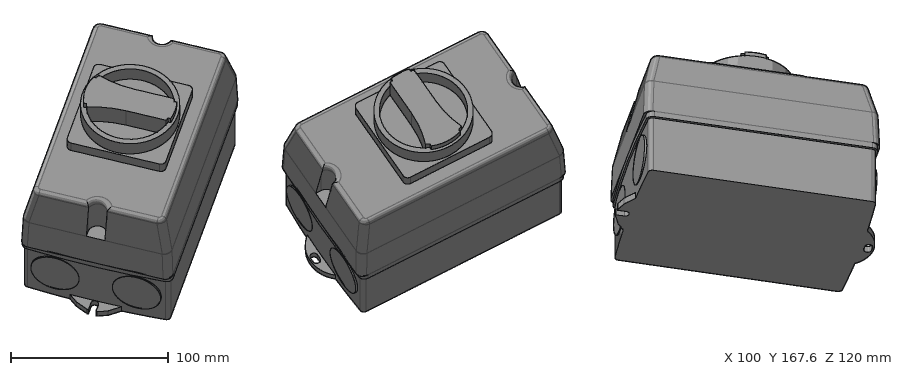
import cadquery as cq
import math

BASE_TOP = 41.8
RIM_TOP = 46.0
SHOULDER_Z = 70.8
COVER_TOP = 97.3
PLATE_TOP = 105.0
RING_TOP = 115.7
KNOB_TOP = 120.0

BASE_WIDTH = 96.8
BASE_LENGTH = 151.6
BASE_CORNER_RADIUS = 2.9
END_WALL_BOW = 1.8

KNOCKOUT_DIAMETER = 32.0
KNOCKOUT_OFFSET = 27.0
KNOCKOUT_Z = 23.3

LUG_THICKNESS = 4.7
LUG_REACH = 83.8
REAR_LUG_RADIUS = 22.6
LUG_HOLE_LENGTH = 8.0
LUG_HOLE_WIDTH = 5.0
LUG_HOLE_Y = 80.2
FRONT_LUG_ROOT_WIDTH = 34.5
FRONT_LUG_ROOT_Y = -75.5
FRONT_LUG_TIP_WIDTH = 6.5
FRONT_LUG_LEFT_BEND = (-11.4, -80.2)
FRONT_LUG_RIGHT_BEND = (9.7, -81.3)
FRONT_LUG_SLOT_WIDTH = 4.9

COVER_WIDTH = 100.0
COVER_LENGTH = 154.0
RIM_CORNER_RADIUS = 4.4
LOWER_DRAFT = 2.0
UPPER_DRAFT = 12.0
COVER_CORNER_RADIUS = 5.0
COVER_TOP_FILLET = 3.4
SCREW_NOTCH_WIDTH = 12.2
SCREW_NOTCH_Y = 72.1

PLATE_SIDE = 65.2
PLATE_CORNER_RADIUS = 3.4
RING_X = 0.25
RING_OUTER_DIAMETER = 63.0
RING_INNER_DIAMETER = 56.0

GRIP_WIDTH = 18.0
GRIP_FLARED_WIDTH = 26.5
EAR_DIAMETER = 59.4
EAR_OVERLAP = 3.4
NARROW_EAR_WIDTH = 13.8
WIDE_EAR_WIDTH = 21.5


def bowed_block(width, length, corner_radius, bottom, top):
    """Block whose two ends are shallow arcs reaching the full length at mid width."""
    half_width = width / 2
    half_length = length / 2
    corner_y = half_length - END_WALL_BOW
    return (
        cq.Workplane("XY", origin=(0, 0, bottom))
        .moveTo(-half_width, -corner_y)
        .threePointArc((0, -half_length), (half_width, -corner_y))
        .lineTo(half_width, corner_y)
        .threePointArc((0, half_length), (-half_width, corner_y))
        .close()
        .extrude(top - bottom)
        .edges("|Z")
        .fillet(corner_radius)
    )


def make_knockouts():
    """Knockouts of both end walls, as cylinders running the length of the base."""
    return (
        cq.Workplane("XZ", origin=(0, BASE_LENGTH / 2, 0))
        .pushPoints([(-KNOCKOUT_OFFSET, KNOCKOUT_Z), (KNOCKOUT_OFFSET, KNOCKOUT_Z)])
        .circle(KNOCKOUT_DIAMETER / 2)
        .extrude(BASE_LENGTH)
    )


def make_rear_lug():
    """Round lug with an oblong hole."""
    hole = (
        cq.Workplane("XY")
        .center(0, LUG_HOLE_Y)
        .slot2D(LUG_HOLE_LENGTH, LUG_HOLE_WIDTH)
        .extrude(LUG_THICKNESS)
    )
    disc = (
        cq.Workplane("XY")
        .center(0, LUG_REACH - REAR_LUG_RADIUS)
        .circle(REAR_LUG_RADIUS)
        .extrude(LUG_THICKNESS)
    )
    return disc.cut(hole)


def make_front_lug():
    """Straight-sided lug with an open slot that ends at the base wall."""
    half_root = FRONT_LUG_ROOT_WIDTH / 2
    half_tip = FRONT_LUG_TIP_WIDTH / 2
    outline = [
        (0, 0),
        (-half_root, FRONT_LUG_ROOT_Y),
        FRONT_LUG_LEFT_BEND,
        (-half_tip, -LUG_REACH),
        (half_tip, -LUG_REACH),
        FRONT_LUG_RIGHT_BEND,
        (half_root, FRONT_LUG_ROOT_Y),
    ]
    slot_depth = LUG_REACH - BASE_LENGTH / 2
    slot = (
        cq.Workplane("XY")
        .center(0, -LUG_REACH)
        .slot2D(2 * slot_depth, FRONT_LUG_SLOT_WIDTH, 90)
        .extrude(LUG_THICKNESS)
    )
    return cq.Workplane("XY").polyline(outline).close().extrude(LUG_THICKNESS).cut(slot)


def make_base():
    body = bowed_block(BASE_WIDTH, BASE_LENGTH, BASE_CORNER_RADIUS, 0, BASE_TOP)
    return body.union(make_knockouts()).union(make_rear_lug()).union(make_front_lug())


def make_screw_notches():
    """Upright round-backed notches, open through both ends of the cover above its shoulder."""
    height = COVER_TOP - SHOULDER_Z
    notches = cq.Workplane("XY")
    for side in (-1, 1):
        back = (
            cq.Workplane("XY", origin=(0, side * SCREW_NOTCH_Y, SHOULDER_Z))
            .circle(SCREW_NOTCH_WIDTH / 2)
            .extrude(height)
        )
        mouth = (
            cq.Workplane("XY", origin=(0, side * (SCREW_NOTCH_Y + SCREW_NOTCH_WIDTH / 2), SHOULDER_Z))
            .rect(SCREW_NOTCH_WIDTH, SCREW_NOTCH_WIDTH)
            .extrude(height)
        )
        notches = notches.add(back.union(mouth))
    return notches.combine()


def make_cover():
    lower_height = SHOULDER_Z - RIM_TOP
    inset = lower_height * math.tan(math.radians(LOWER_DRAFT))
    lower = (
        cq.Workplane("XY", origin=(0, 0, RIM_TOP))
        .rect(COVER_WIDTH, COVER_LENGTH)
        .extrude(lower_height, taper=LOWER_DRAFT)
    )
    upper = (
        cq.Workplane("XY", origin=(0, 0, SHOULDER_Z))
        .rect(COVER_WIDTH - 2 * inset, COVER_LENGTH - 2 * inset)
        .extrude(COVER_TOP - SHOULDER_Z, taper=UPPER_DRAFT)
    )
    shell = lower.union(upper).edges("not(#Z)").fillet(COVER_CORNER_RADIUS)
    shell = shell.cut(make_screw_notches()).faces(">Z").edges().fillet(COVER_TOP_FILLET)
    rim = bowed_block(COVER_WIDTH, COVER_LENGTH, RIM_CORNER_RADIUS, BASE_TOP, RIM_TOP)
    return shell.union(rim)


def make_switch_mount():
    plate = (
        cq.Workplane("XY", origin=(0, 0, COVER_TOP))
        .rect(PLATE_SIDE, PLATE_SIDE)
        .extrude(PLATE_TOP - COVER_TOP)
        .edges("|Z")
        .fillet(PLATE_CORNER_RADIUS)
    )
    ring = (
        cq.Workplane("XY", origin=(RING_X, 0, PLATE_TOP))
        .circle(RING_OUTER_DIAMETER / 2)
        .circle(RING_INNER_DIAMETER / 2)
        .extrude(RING_TOP - PLATE_TOP)
    )
    return plate.union(ring)


def make_grip():
    """Bar inside the ring bore, straight on +X and flaring in tangent arcs on -X."""
    bore_radius = RING_INNER_DIAMETER / 2
    half_width = GRIP_WIDTH / 2
    flared_half_width = GRIP_FLARED_WIDTH / 2
    flare_x = -math.sqrt(bore_radius**2 - flared_half_width**2)
    straight_x = math.sqrt(bore_radius**2 - half_width**2)
    half = (
        cq.Workplane("XY", origin=(RING_X, 0, PLATE_TOP))
        .moveTo(bore_radius, 0)
        .radiusArc((straight_x, half_width), -bore_radius)
        .lineTo(0, half_width)
        .tangentArcPoint((flare_x, flared_half_width), relative=False)
        .radiusArc((-bore_radius, 0), -bore_radius)
        .close()
        .extrude(KNOB_TOP - PLATE_TOP)
    )
    return half.union(half.mirror("XZ"))


def make_ears():
    """Narrower ends of the grip that rest on the top of the ring."""
    height = KNOB_TOP - RING_TOP
    ear_radius = EAR_DIAMETER / 2
    bar_start = RING_INNER_DIAMETER / 2 - EAR_OVERLAP
    bar_length = EAR_DIAMETER / 2 - bar_start
    disc = cq.Workplane("XY", origin=(RING_X, 0, RING_TOP)).circle(ear_radius).extrude(height)
    bars = cq.Workplane("XY")
    for side, width in ((-1, WIDE_EAR_WIDTH), (1, NARROW_EAR_WIDTH)):
        bar_x = RING_X + side * (bar_start + bar_length / 2)
        bar = (
            cq.Workplane("XY", origin=(bar_x, 0, RING_TOP))
            .rect(bar_length, width)
            .extrude(height)
        )
        bars = bars.add(bar)
    return disc.intersect(bars.combine())


def make_knob():
    return make_grip().union(make_ears())


base = make_base()
cover = make_cover()
switch_mount = make_switch_mount()
knob = make_knob()

result = cq.Compound.makeCompound([base.val(), cover.val(), switch_mount.val(), knob.val()])